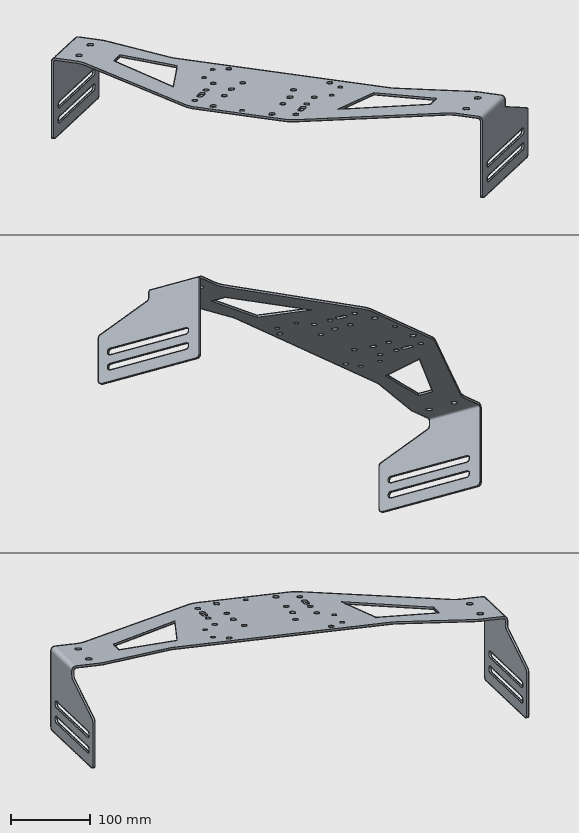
import cadquery as cq


width = 580.0
depth = 257.0
height = 110.0
sheet = 3.0
bend_radius = 6.0
cut_depth = 2 * sheet

half_width = width / 2
flange_front_y = 97.0
wing_rear_y = 177.0
centre_rear_y = 151.0
front_half_width = 68.0
wing_front_x = 249.5
wing_rear_x = 250.0
centre_rear_x = 148.0
outline_radius = 30.0

window_outer_x = 213.0
window_rear_x = 132.0
window_tip = (111.0, 57.0)
window_outer_rear_y = 137.0
window_inner_rear_y = 127.0
window_outer_front_y = 115.0

small_hole = 6.0
medium_hole = 7.0
large_hole = 8.0
outer_column_x = 86.0
middle_column_x = 68.0
inner_column_x = 39.5
centre_column_x = 34.0
wing_hole_x = 260.5
wing_hole_spacing = 40.0
wing_hole_y = (flange_front_y + wing_rear_y) / 2
small_points = [(outer_column_x, 130.5), (outer_column_x, 100.5)]
medium_points = [
    (middle_column_x, 140.5),
    (middle_column_x, 86.0),
    (middle_column_x, 60.5),
    (middle_column_x, 21.5),
    (centre_column_x, 101.0),
    (inner_column_x, 50.5),
]
large_points = [
    (wing_hole_x, wing_hole_y - wing_hole_spacing / 2),
    (wing_hole_x, wing_hole_y + wing_hole_spacing / 2),
]
centre_hole_y = 10.0

plate_slot_width = 7.0
long_slot = 16.0
short_slot = 8.5
long_slot_points = [(middle_column_x, 43.0)]
short_slot_points = [(inner_column_x, 75.0), (inner_column_x, 11.5)]

neck_z = -15.0
tail_z = -45.0
corner_radius = 5.0
flange_slot_count = 2
flange_slot_length = 129.0
flange_slot_width = 8.5
flange_slot_y = 178.0
flange_slot_spacing = 20.5
lower_slot_z = -90.5


def mirrored(points):
    """Return the points together with their mirror images about X = 0."""
    return points + [(-x, y) for x, y in points]


def round_corners(body, points, radius):
    """Fillet the vertical edge at each (x, y) point."""
    for x, y in points:
        edge = cq.selectors.NearestToPointSelector((x, y, -height / 2))
        body = body.edges("|Z").edges(edge).fillet(radius)
    return body


def plate_blank():
    """Plan outline of the plate, extruded over the full height."""
    right_side = [
        (front_half_width, 0),
        (wing_front_x, flange_front_y),
        (half_width, flange_front_y),
        (half_width, wing_rear_y),
        (wing_rear_x, wing_rear_y),
        (centre_rear_x, centre_rear_y),
    ]
    left_side = [(-x, y) for x, y in reversed(right_side)]
    outline = cq.Workplane("XY").polyline(right_side + left_side).close().extrude(-height)
    taper_corners = right_side[:2] + right_side[4:]
    return round_corners(outline, mirrored(taper_corners), outline_radius)


def bent_channel():
    """Constant-thickness U channel with rounded bends, running along Y."""
    outer = cq.Workplane("XY").box(width, depth, height, centered=(True, False, False))
    outer = outer.translate((0, 0, -height)).edges("|Y and >Z").fillet(bend_radius)
    inner = cq.Workplane("XY").box(width - 2 * sheet, depth, height, centered=(True, False, False))
    inner = inner.translate((0, 0, -height - sheet)).edges("|Y and >Z").fillet(bend_radius - sheet)
    return outer.cut(inner)


def flange_outline():
    """Side profile of the flanges, extruded across the whole width."""
    profile = (
        cq.Workplane("YZ")
        .polyline([
            (flange_front_y, 0),
            (flange_front_y, -height),
            (depth, -height),
            (depth, tail_z),
            (wing_rear_y, neck_z),
            (wing_rear_y, 0),
        ])
        .close()
        .extrude(half_width, both=True)
    )
    return profile.edges("|X and (not >Z)").fillet(corner_radius)


def drill(body, points, diameter):
    """Cut round holes through the plate."""
    cutter = cq.Workplane("XY").pushPoints(points).circle(diameter / 2).extrude(-cut_depth)
    return body.cut(cutter)


def cut_plate_slots(body, points, length):
    """Cut round-ended slots through the plate."""
    cutter = cq.Workplane("XY").pushPoints(points).slot2D(length, plate_slot_width, 90).extrude(-cut_depth)
    return body.cut(cutter)


def windows():
    """Cutters for the two four-sided windows in the wings."""
    corners = [
        (window_outer_x, window_outer_front_y),
        (window_outer_x, window_outer_rear_y),
        (window_rear_x, window_inner_rear_y),
        window_tip,
    ]
    right = cq.Workplane("XY").polyline(corners).close().extrude(-cut_depth)
    return right.union(right.mirror("YZ"))


def flange_slots():
    """Cutter for the long horizontal slots, passing through both flanges."""
    centres = [(flange_slot_y, lower_slot_z + row * flange_slot_spacing) for row in range(flange_slot_count)]
    return (
        cq.Workplane("YZ")
        .pushPoints(centres)
        .slot2D(flange_slot_length, flange_slot_width)
        .extrude(half_width, both=True)
    )


channel = bent_channel()
core_width = width - 2 * bend_radius
core = cq.Workplane("XY").box(core_width, depth, height, centered=(True, False, False))
core = core.translate((0, 0, -height))
plate = channel.intersect(core).intersect(plate_blank())
flanges = channel.cut(core).intersect(flange_outline())

result = plate.union(flanges)
result = result.cut(windows()).cut(flange_slots())
result = drill(result, mirrored(small_points) + [(0, centre_hole_y)], small_hole)
result = drill(result, mirrored(medium_points), medium_hole)
result = drill(result, mirrored(large_points), large_hole)
result = cut_plate_slots(result, mirrored(long_slot_points), long_slot)
result = cut_plate_slots(result, mirrored(short_slot_points), short_slot)